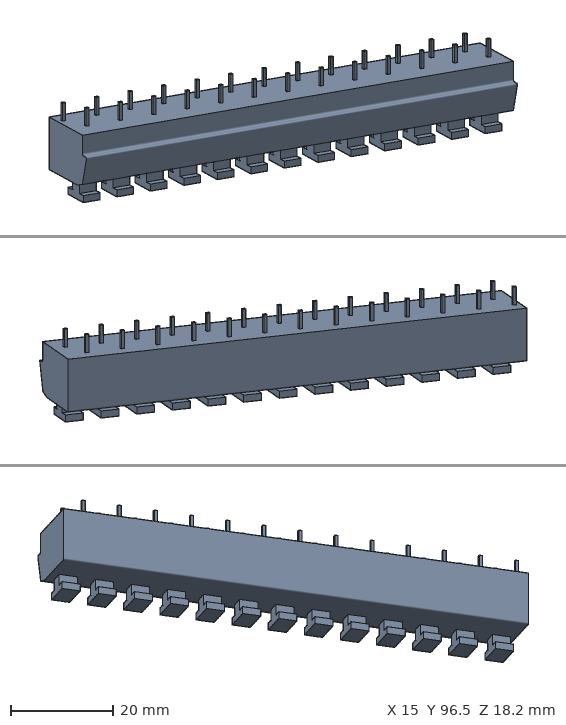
import cadquery as cq
import math

LENGTH = 96.5
DEPTH = 15.0
HEIGHT = 10.8
TOP_DEPTH = 13.4
LEDGE_HEIGHT = 6.7
BOTTOM_DEPTH = 11.2
BEVEL_HEIGHT = 0.7
EDGE_RADIUS = 0.3
LEDGE_CORNER_RADIUS = 0.4
NOSE_ANGLE = math.radians(16)

NOSE_END_X = DEPTH - EDGE_RADIUS + EDGE_RADIUS * math.cos(NOSE_ANGLE)
NOSE_END_Z = LEDGE_HEIGHT - EDGE_RADIUS - EDGE_RADIUS * math.sin(NOSE_ANGLE)

CHANNEL_LEFT = 12.45
CHANNEL_BOTTOM = 3.5
CHANNEL_HEIGHT = 1.2
CHANNEL_NOSE_WALL = 0.5
CHANNEL_END_WALL = 0.3

POLE_COUNT = 13
POLE_SPAN = 89.9
POLE_PITCH = POLE_SPAN / (POLE_COUNT - 1)

PIN_LENGTH = 3.7
PIN_WIDTH = 0.7
BACK_ROW_X = 3.3
BACK_ROW_OFFSET = -1.9
FRONT_ROW_X = 8.4
FRONT_ROW_OFFSET = 0.5

BUTTON_WIDTH = 3.8
BUTTON_OFFSET = -0.3
BUTTON_DROP = 3.7
STEM_X = 8.8
STEM_DEPTH = 2.9
PLATE_X = 8.7
PLATE_DEPTH = 6.2
PLATE_THICKNESS = 1.4


def nose_x(z):
    """X of the sloping nose face at height z."""
    return NOSE_END_X + (z - NOSE_END_Z) * math.tan(NOSE_ANGLE)


def make_housing():
    profile = (
        cq.Workplane("XZ")
        .moveTo(EDGE_RADIUS, 0)
        .lineTo(BOTTOM_DEPTH, 0)
        .lineTo(nose_x(BEVEL_HEIGHT), BEVEL_HEIGHT)
        .lineTo(NOSE_END_X, NOSE_END_Z)
        .radiusArc((DEPTH - EDGE_RADIUS, LEDGE_HEIGHT), -EDGE_RADIUS)
        .lineTo(TOP_DEPTH + LEDGE_CORNER_RADIUS, LEDGE_HEIGHT)
        .radiusArc((TOP_DEPTH, LEDGE_HEIGHT + LEDGE_CORNER_RADIUS), LEDGE_CORNER_RADIUS)
        .lineTo(TOP_DEPTH, HEIGHT)
        .lineTo(0, HEIGHT)
        .lineTo(0, EDGE_RADIUS)
        .radiusArc((EDGE_RADIUS, 0), -EDGE_RADIUS)
        .close()
    )
    return profile.extrude(LENGTH / 2, both=True)


def make_channel():
    top = CHANNEL_BOTTOM + CHANNEL_HEIGHT
    outline = [
        (CHANNEL_LEFT, CHANNEL_BOTTOM),
        (nose_x(CHANNEL_BOTTOM) - CHANNEL_NOSE_WALL, CHANNEL_BOTTOM),
        (nose_x(top) - CHANNEL_NOSE_WALL, top),
        (CHANNEL_LEFT, top),
    ]
    half_length = LENGTH / 2 - CHANNEL_END_WALL
    return cq.Workplane("XZ").polyline(outline).close().extrude(half_length, both=True)


def row_of_blocks(x, y_offset, z, x_size, y_size, z_size):
    """One block per pole, centred on x and standing on height z; y_offset shifts the whole row."""
    first_y = y_offset - POLE_SPAN / 2
    centers = [(x, first_y + i * POLE_PITCH) for i in range(POLE_COUNT)]
    return cq.Workplane("XY").workplane(offset=z).pushPoints(centers).rect(x_size, y_size).extrude(z_size)


def pin_row(x, y_offset):
    return row_of_blocks(x, y_offset, HEIGHT, PIN_WIDTH, PIN_WIDTH, PIN_LENGTH)


def make_buttons():
    stems = row_of_blocks(STEM_X, BUTTON_OFFSET, -BUTTON_DROP, STEM_DEPTH, BUTTON_WIDTH, BUTTON_DROP)
    plates = row_of_blocks(
        PLATE_X, BUTTON_OFFSET, -BUTTON_DROP, PLATE_DEPTH, BUTTON_WIDTH, PLATE_THICKNESS
    )
    return stems.union(plates)


result = (
    make_housing()
    .cut(make_channel())
    .union(pin_row(BACK_ROW_X, BACK_ROW_OFFSET))
    .union(pin_row(FRONT_ROW_X, FRONT_ROW_OFFSET))
    .union(make_buttons())
)